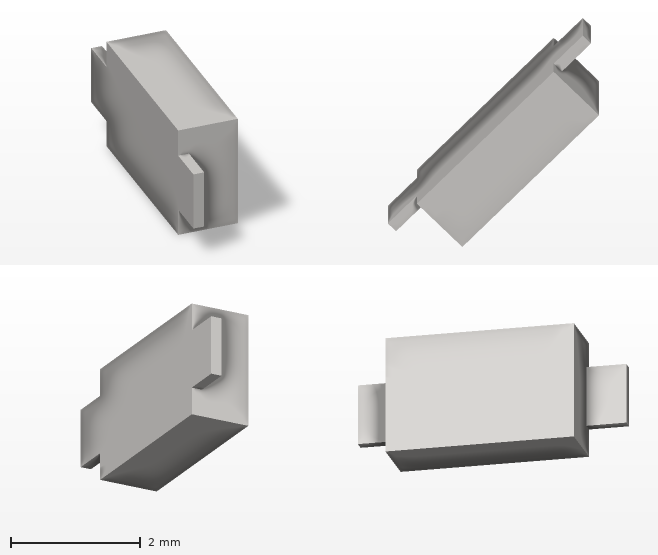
import cadquery as cq

overall_length = 4.26
body_length = 2.99
body_depth = 0.99
body_height = 1.85
lead_height = 0.96
lead_thickness = 0.18

body = cq.Workplane("XY").box(body_length, body_depth, body_height, centered=(True, False, True))

leads = cq.Workplane("XY").box(overall_length, lead_thickness, lead_height, centered=(True, False, True))

result = body.union(leads)